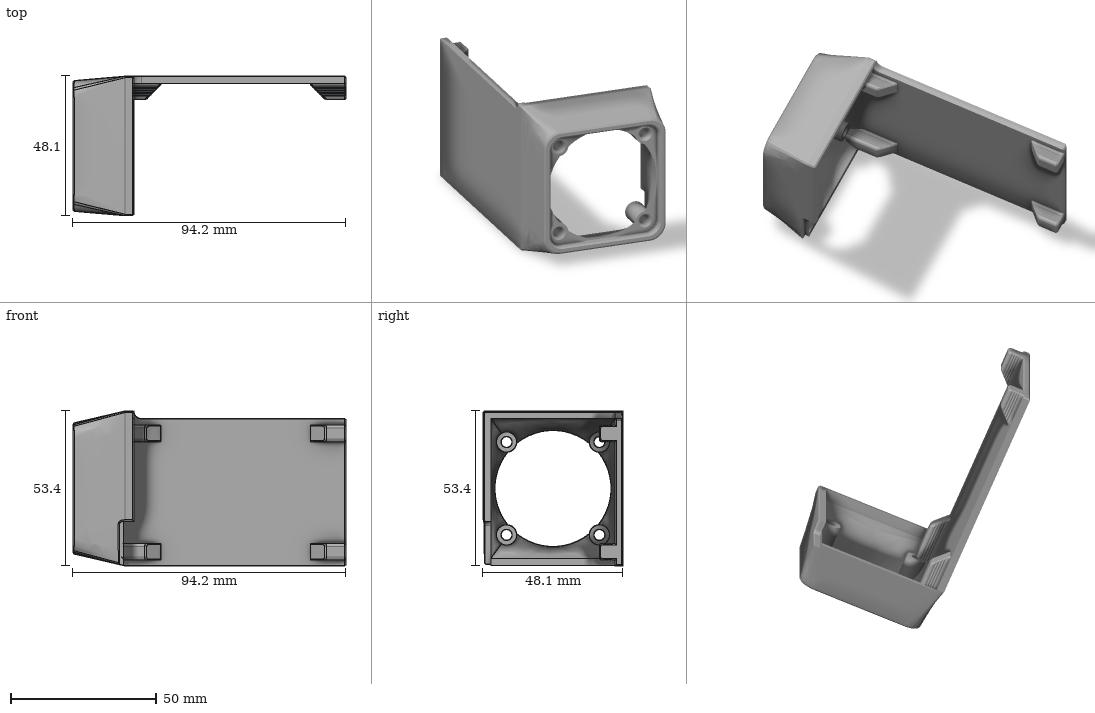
import cadquery as cq
import math

total_length = 94.2
hood_width = 48.1
hood_height = 53.4
wall = 2.6
edge_chamfer = 0.5

taper_length = 18.0
duct_end = 17.4
lip_length = 3.0
hood_length = taper_length + lip_length
front_size = 45.0
front_corner_radius = 6.0
corner_split_angle = math.radians(59)
corner_strip_half_angle = math.radians(5)
center_y = hood_width / 2
center_z = hood_height / 2

seat_depth = 3.0
seat_size = 40.5
seat_corner_radius = 4.5
flare_side_height = 0.001

duct_diameter = 40.0
duct_width = hood_width - 2 * wall
duct_height = hood_height - 2 * wall

screw_spacing = 32.0
screw_diameter = 3.7
screw_countersink = 0.65
boss_diameter = 7.0
boss_end = 13.0

notch_start = 16.0
notch_height = 15.3
notch_corner_radius = 1.3
notch_chamfer_depth = 0.65

plate_height = hood_height - wall
plate_inner_y = hood_width - wall
plate_fillet = wall

foot_length_at_tip = 7.15
foot_protrusion = 5.5
foot_height = 5.75
foot_margin = 2.0
foot_spacing = 40.8
foot_tip_radius = 1.0
foot_slope_chamfer = 0.4
groove_count = 4
groove_pitch = 0.85
groove_depth = 0.35


def yz_point(x, y, z):
    """A point given by its X and by its Y and Z offsets from the fan axis."""
    return cq.Vector(x, center_y + y, center_z + z)


def box(x_range, y_range, z_range):
    """An axis-aligned box between the given limits."""
    size = [high - low for low, high in (x_range, y_range, z_range)]
    corner = cq.Vector(x_range[0], y_range[0], z_range[0])
    return cq.Workplane(obj=cq.Solid.makeBox(*size, corner))


def turned(y, z, quarter):
    """(y, z) turned by a number of quarter turns."""
    for _ in range(quarter):
        y, z = -z, y
    return y, z


def front_wire():
    """Rounded square whose four sides each take in part of the two corner arcs beside them."""
    flat = front_size / 2 - front_corner_radius
    strip = corner_strip_half_angle

    def arc_point(side, angle):
        return (
            flat + front_corner_radius * math.cos(angle),
            side * (flat + front_corner_radius * math.sin(angle)),
        )

    edges = []
    for quarter in range(4):
        split = corner_split_angle if quarter % 2 == 0 else math.pi / 2 - corner_split_angle
        end_angle = split - strip
        outline = [
            arc_point(-1, end_angle),
            arc_point(-1, 0),
            arc_point(1, 0),
            arc_point(1, end_angle),
        ]
        directions = [
            (math.sin(end_angle), math.cos(end_angle)),
            (0, 1),
            (0, 1),
            (-math.sin(end_angle), math.cos(end_angle)),
        ]
        points = [yz_point(0, *turned(*p, quarter)) for p in outline]
        tangents = [cq.Vector(0, *turned(*d, quarter)) for d in directions]
        edges.append(cq.Edge.makeSpline(points, tangents=tangents))
        corner = [arc_point(1, split + offset) for offset in (-strip, 0, strip)]
        edges.append(cq.Edge.makeThreePointArc(*[yz_point(0, *turned(*p, quarter)) for p in corner]))
    return cq.Wire.assembleEdges(edges)


def back_wire():
    """Full hood outline with small corner chamfers."""
    y = hood_width / 2
    z = hood_height / 2
    c = edge_chamfer
    corners = [
        (y, c - z), (y, z - c), (y - c, z), (c - y, z),
        (-y, z - c), (-y, c - z), (c - y, -z), (y - c, -z),
    ]
    return cq.Wire.makePolygon([yz_point(taper_length, *p) for p in corners], close=True)


def hood_shell():
    """Solid outer form of the hood: the taper and the lip."""
    taper = cq.Workplane(obj=cq.Solid.makeLoft([front_wire(), back_wire()], True))
    taper = taper.faces("<X").chamfer(edge_chamfer)
    lip = box((taper_length, hood_length), (0, hood_width), (0, hood_height))
    lip = lip.edges("|X").chamfer(edge_chamfer).faces(">X").chamfer(edge_chamfer)
    return taper.union(lip)


def lip_opening():
    """Straight opening inside the lip, and the open space below the lip."""
    opening = box((duct_end, hood_length), (wall, plate_inner_y), (wall, plate_height))
    below_body = box((duct_end, hood_length), (wall, plate_inner_y), (0, notch_height))
    below_lip = box((taper_length, hood_length), (0, hood_width), (0, notch_height))
    return opening.union(below_body).union(below_lip)


def duct():
    """Loft from a circle, split at its diagonals, to a rectangle."""
    radius = duct_diameter / 2
    diagonal = radius / math.sqrt(2)
    arcs = []
    for quarter in range(4):
        points = [(diagonal, -diagonal), (radius, 0), (diagonal, diagonal)]
        arcs.append(
            cq.Edge.makeThreePointArc(*[yz_point(seat_depth, *turned(*p, quarter)) for p in points])
        )
    y = duct_width / 2
    z = duct_height / 2
    corners = [(y, -z), (y, z), (-y, z), (-y, -z)]
    rectangle = cq.Wire.makePolygon([yz_point(duct_end, *p) for p in corners], close=True)
    return cq.Workplane(obj=cq.Solid.makeLoft([cq.Wire.assembleEdges(arcs), rectangle], True))


def fan_plane(x):
    """Plane across the fan axis that faces the plate, at the given X."""
    return cq.Workplane(cq.Plane((x, center_y, center_z), (0, 1, 0), (1, 0, 0)))


def screw_corners():
    """The four screw positions on the floor of the fan seat."""
    return fan_plane(seat_depth).rect(screw_spacing, screw_spacing, forConstruction=True).vertices()


def bosses():
    return screw_corners().circle(boss_diameter / 2).extrude(boss_end - seat_depth)


def screw_holes():
    return screw_corners().circle(screw_diameter / 2).extrude(hood_length)


def countersinks():
    """Cones that widen the screw holes at the floor of the fan seat."""
    radius = screw_diameter / 2
    cone = cq.Solid.makeCone(
        radius + screw_countersink, radius, screw_countersink, dir=cq.Vector(1, 0, 0)
    )
    half = screw_spacing / 2
    cones = cq.Workplane()
    for y in (-half, half):
        for z in (-half, half):
            cones = cones.add(cone.moved(cq.Location(yz_point(seat_depth, y, z))))
    return cones.combine()


def fan_seat():
    """Square pocket for the fan with a chamfered rim."""
    pocket = fan_plane(0).rect(seat_size, seat_size).extrude(seat_depth)
    pocket = pocket.edges("|X").fillet(seat_corner_radius)
    rim = seat_size + 2 * edge_chamfer
    flare = fan_plane(0).rect(rim, rim).extrude(edge_chamfer)
    flare = flare.edges("|X").fillet(seat_corner_radius + edge_chamfer)
    return pocket.union(flare.faces(">X").chamfer(edge_chamfer - flare_side_height))


def notch_outline(y):
    """Notch outline in the XZ plane at the given Y, open past the lip end and below the hood."""
    end = hood_length + wall
    return (
        cq.Workplane("XZ", origin=(0, y, 0))
        .moveTo(end, -wall)
        .lineTo(end, notch_height)
        .lineTo(notch_start + notch_corner_radius, notch_height)
        .radiusArc((notch_start, notch_height - notch_corner_radius), -notch_corner_radius)
        .lineTo(notch_start, -wall)
        .close()
    )


def notched(hood):
    """Hood with the notch cut through its -Y wall and the outer notch edge chamfered."""
    notch = notch_outline(wall).extrude(2 * wall)
    flare = notch_outline(notch_chamfer_depth).extrude(notch_chamfer_depth, taper=-45)
    return hood.cut(notch).cut(flare)


def plate():
    """Side plate with the concave fillet that joins its top edge to the lip."""
    body = box((taper_length, total_length), (plate_inner_y, hood_width), (0, plate_height))
    gusset = (
        cq.Workplane("XZ", origin=(0, hood_width, 0))
        .moveTo(hood_length, plate_height - edge_chamfer)
        .lineTo(hood_length, hood_height - edge_chamfer)
        .lineTo(hood_length, plate_height + plate_fillet)
        .radiusArc((hood_length + plate_fillet, plate_height), -plate_fillet)
        .lineTo(hood_length + plate_fillet, plate_height - edge_chamfer)
        .close()
        .extrude(wall)
    )
    return body.union(gusset)


def foot(bottom, start, end, sloped_side):
    """Foot between two X positions at its tip, with a 45 degree slope on its +X or -X side."""
    tip_y = plate_inner_y - foot_protrusion
    slope_base = (end if sloped_side > 0 else start) + sloped_side * foot_protrusion
    outline = [
        (start, tip_y),
        (end, tip_y),
        (max(end, slope_base), plate_inner_y),
        (min(start, slope_base), plate_inner_y),
    ]
    body = cq.Workplane("XY", origin=(0, 0, bottom)).polyline(outline).close().extrude(foot_height)
    body = body.edges("|X and <Y").fillet(foot_tip_radius)
    slope = body.faces(cq.selectors.DirectionMinMaxSelector(cq.Vector(sloped_side, -1, 0)))
    return slope.chamfer(foot_slope_chamfer)


def foot_grooves(bottom, start, end):
    """V-grooves along X in the lower and upper faces of a foot."""
    grooves = cq.Workplane()
    for z, inward in ((bottom, groove_depth), (bottom + foot_height, -groove_depth)):
        for number in range(1, groove_count + 1):
            y = plate_inner_y - number * groove_pitch
            groove = (
                cq.Workplane("YZ", origin=(start, 0, 0))
                .polyline([(y, z), (y - groove_pitch, z), (y - groove_pitch / 2, z + inward)])
                .close()
                .extrude(end - start)
            )
            grooves = grooves.add(groove)
    return grooves.combine()


def plate_with_feet():
    """Side plate with its four grooved feet; the near feet reach back to the screw bosses."""
    body = plate()
    near_start = boss_end
    near_end = taper_length + foot_length_at_tip
    far_start = total_length - foot_length_at_tip
    bottoms = (foot_margin, foot_margin + foot_spacing)
    for bottom in bottoms:
        body = body.union(foot(bottom, near_start, near_end, 1))
        body = body.union(foot(bottom, far_start, total_length, -1))
    body = body.faces(">X").chamfer(edge_chamfer)
    for bottom in bottoms:
        body = body.cut(foot_grooves(bottom, near_start, near_end + foot_protrusion))
        body = body.cut(foot_grooves(bottom, far_start - foot_protrusion, total_length))
    return body


shell = hood_shell()
hood = notched(shell.cut(duct()).cut(lip_opening()))
hood = hood.union(bosses().intersect(shell))
hood = hood.cut(screw_holes()).cut(countersinks()).cut(fan_seat())
result = hood.union(plate_with_feet())